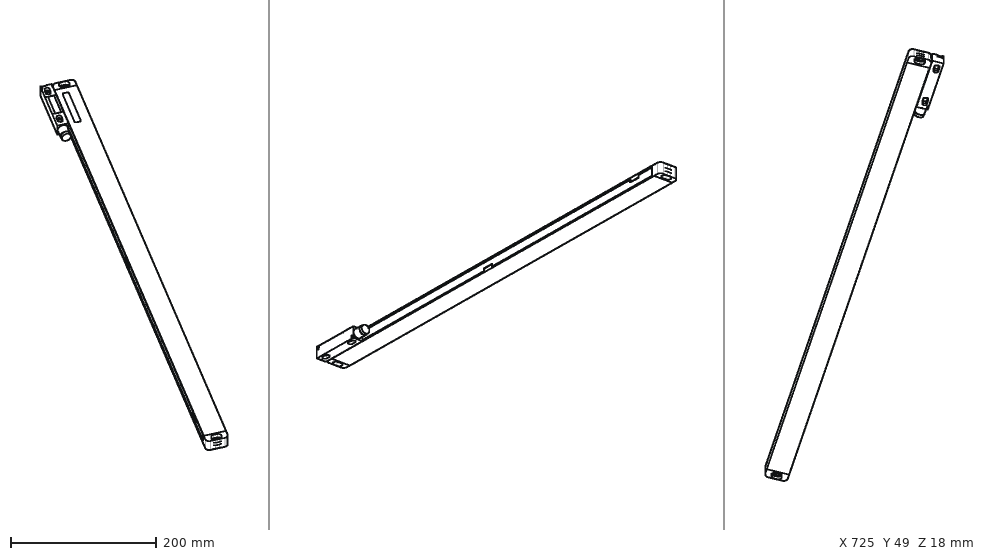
import cadquery as cq

LENGTH = 725.0
HEIGHT = 18.0
TOTAL_WIDTH = 49.0
MID_HEIGHT = HEIGHT / 2

SCALE_WIDTH = 32.3
SCALE_FRONT_Y = TOTAL_WIDTH - SCALE_WIDTH
SCALE_MID_Y = SCALE_FRONT_Y + SCALE_WIDTH / 2
EAR_LENGTH = 12.5
EAR_STEP = 0.15
EAR_CORNER_RADIUS = 5.8

EAR_SLOT_INSET = 5.5
EAR_SLOT_LENGTH = 10.0
EAR_SLOT_WIDTH = 6.5
EAR_BORE_LENGTH = 15.0
EAR_BORE_WIDTH = 9.5
EAR_BORE_DEPTH = 6.5

WINDOW_INSET = 18.0
WINDOW_LIP = 2.2
WINDOW_DEPTH = 1.0
WINDOW_HEIGHT = HEIGHT - 2 * WINDOW_LIP

TAB_LENGTH = 18.0
TAB_REACH = 4.2
UPPER_TAB_X = 669.0
LOWER_TAB_X = 351.0

LABEL_START = 22.0
LABEL_LENGTH = 59.0
LABEL_WIDTH = 9.0
LABEL_MID_Y = 29.5
LABEL_RADIUS = 2.0
LABEL_DEPTH = 0.3

HEAD_LENGTH = 79.5
HEAD_WIDTH = 16.2
PAD_LENGTH = 22.0
WAIST_LENGTH = 34.0
WAIST_STEP = 0.15
POCKET_WIDTH = 8.7
POCKET_MID_Y = 8.7
POCKET_DEPTH = 0.6

HEAD_SLOT_XS = (11.5, 67.5)
HEAD_SLOT_Y = 7.2
HEAD_SLOT_LENGTH = 6.0
HEAD_SLOT_WIDTH = 5.5
HEAD_BORE_LENGTH = 12.5
HEAD_BORE_WIDTH = 7.2
HEAD_BORE_DEPTH = 5.0

SCREW_HOLE_DIAMETER = 4.0
SCREW_HOLE_DEPTH = 2.0
SCREW_INSET_X = 2.8
SCREW_INSET_Z = 2.8
END_RECESS_WIDTH = 6.5
END_RECESS_HEIGHT = 3.2
END_RECESS_START_Y = 2.2
END_RECESS_DEPTH = 1.0

GLAND_MID_Y = 8.0
GLAND_STAGES = ((12.5, 14.5), (4.5, 13.5))


def block(x, y, z, dx, dy, dz):
    """Box with its lowest corner at (x, y, z)."""
    return cq.Workplane("XY").box(dx, dy, dz, centered=False).translate((x, y, z))


def mounting_slot(x, y, slot, bore, bore_depth, angle):
    """Through slot with a slotted counterbore at top and bottom; slot and bore are (length, width)."""
    cutter = cq.Workplane("XY").slot2D(*slot, angle).extrude(HEIGHT)
    for z in (0, HEIGHT - bore_depth):
        counterbore = cq.Workplane("XY", origin=(0, 0, z)).slot2D(*bore, angle).extrude(bore_depth)
        cutter = cutter.union(counterbore)
    return cutter.translate((x, y, 0))


def lip_tab(x, z):
    """Flat tab filling part of the window, centred on x, with its underside at z."""
    return block(x - TAB_LENGTH / 2, SCALE_FRONT_Y, z, TAB_LENGTH, WINDOW_DEPTH, TAB_REACH)


def make_scale_housing():
    ears = (
        block(0, SCALE_FRONT_Y, EAR_STEP, LENGTH, SCALE_WIDTH, HEIGHT - 2 * EAR_STEP)
        .edges("|Z").fillet(EAR_CORNER_RADIUS)
    )
    bar = block(EAR_LENGTH, SCALE_FRONT_Y, 0, LENGTH - 2 * EAR_LENGTH, SCALE_WIDTH, HEIGHT)
    housing = ears.union(bar)

    window = block(
        WINDOW_INSET, SCALE_FRONT_Y, WINDOW_LIP, LENGTH - 2 * WINDOW_INSET, WINDOW_DEPTH, WINDOW_HEIGHT
    )
    housing = housing.cut(window)
    housing = housing.union(lip_tab(UPPER_TAB_X, HEIGHT - WINDOW_LIP - TAB_REACH))
    housing = housing.union(lip_tab(LOWER_TAB_X, WINDOW_LIP))

    label = (
        block(
            LABEL_START, LABEL_MID_Y - LABEL_WIDTH / 2, HEIGHT - LABEL_DEPTH,
            LABEL_LENGTH, LABEL_WIDTH, LABEL_DEPTH,
        )
        .edges("|Z").fillet(LABEL_RADIUS)
    )
    housing = housing.cut(label)

    for x in (EAR_SLOT_INSET, LENGTH - EAR_SLOT_INSET):
        housing = housing.cut(
            mounting_slot(
                x, SCALE_MID_Y, (EAR_SLOT_LENGTH, EAR_SLOT_WIDTH),
                (EAR_BORE_LENGTH, EAR_BORE_WIDTH), EAR_BORE_DEPTH, 90,
            )
        )
    return housing


def add_cable_gland(head):
    """Stepped round gland on the +X end of the head."""
    start_x = HEAD_LENGTH
    for length, diameter in GLAND_STAGES:
        stage = cq.Workplane("YZ", origin=(start_x, GLAND_MID_Y, MID_HEIGHT))
        head = head.union(stage.circle(diameter / 2).extrude(length))
        start_x += length
    return head


def make_reading_head():
    head = block(0, 0, 0, HEAD_LENGTH, HEAD_WIDTH, HEIGHT)

    waist_step = block(PAD_LENGTH, 0, HEIGHT - WAIST_STEP, WAIST_LENGTH, HEAD_WIDTH, WAIST_STEP)
    head = head.cut(waist_step)
    head = head.cut(
        block(
            PAD_LENGTH, POCKET_MID_Y - POCKET_WIDTH / 2, HEIGHT - POCKET_DEPTH,
            WAIST_LENGTH, POCKET_WIDTH, POCKET_DEPTH,
        )
    )

    for x in HEAD_SLOT_XS:
        head = head.cut(
            mounting_slot(
                x, HEAD_SLOT_Y, (HEAD_SLOT_LENGTH, HEAD_SLOT_WIDTH),
                (HEAD_BORE_LENGTH, HEAD_BORE_WIDTH), HEAD_BORE_DEPTH, 0,
            )
        )

    screw_centres = (
        (SCREW_INSET_X, HEIGHT - SCREW_INSET_Z),
        (HEAD_LENGTH - SCREW_INSET_X, SCREW_INSET_Z),
    )
    for x, z in screw_centres:
        hole = (
            cq.Workplane("XZ", origin=(x, 0, z)).circle(SCREW_HOLE_DIAMETER / 2).extrude(-SCREW_HOLE_DEPTH)
        )
        head = head.cut(hole)

    end_recess = block(
        0, END_RECESS_START_Y, HEIGHT - END_RECESS_HEIGHT,
        END_RECESS_DEPTH, END_RECESS_WIDTH, END_RECESS_HEIGHT,
    )
    return add_cable_gland(head.cut(end_recess))


scale_housing = make_scale_housing()
reading_head = make_reading_head()

result = cq.Compound.makeCompound([scale_housing.val(), reading_head.val()])